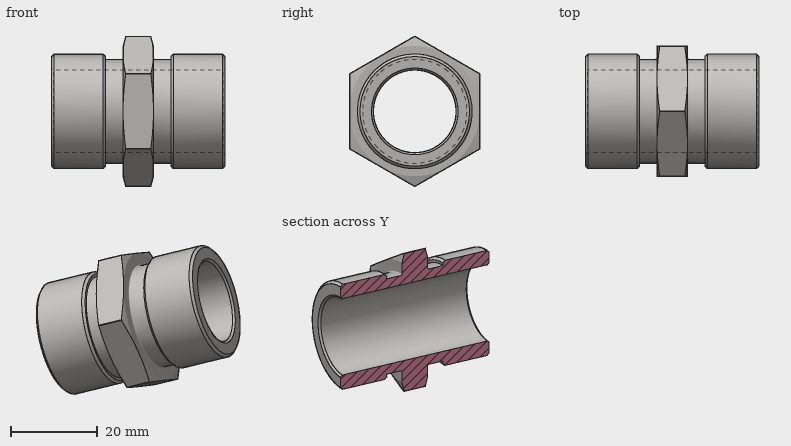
import cadquery as cq
import math

length = 40.0
bore_diameter = 19.0
thread_diameter = 26.45
neck_diameter = 24.0
neck_length = 4.0
neck_fillet = 0.3

hex_sides = 6
hex_across_flats = 30.0
hex_corner_diameter = 34.55
hex_width = 7.0
hex_bevel_angle = 15.0

outer_chamfer = 0.6
bore_chamfer = 0.5

half_length = length / 2
half_hex_width = hex_width / 2
bore_radius = bore_diameter / 2
thread_radius = thread_diameter / 2
neck_radius = neck_diameter / 2
thread_start = half_hex_width + neck_length


def revolve_about_x(profile):
    """Revolve a closed profile, drawn as (x, radius), one full turn about X."""
    return profile.close().revolve(360, (0, 0, 0), (1, 0, 0))


def make_threaded_end():
    """Tube on the +X side: neck with a root fillet, then the chamfered thread."""
    fillet_center = (half_hex_width + neck_fillet, neck_radius + neck_fillet)
    fillet_reach = neck_fillet * math.sqrt(0.5)
    fillet_middle = (fillet_center[0] - fillet_reach, fillet_center[1] - fillet_reach)
    profile = (
        cq.Workplane("XY")
        .moveTo(0, bore_radius)
        .lineTo(0, neck_radius + neck_fillet)
        .lineTo(half_hex_width, neck_radius + neck_fillet)
        .threePointArc(fillet_middle, (half_hex_width + neck_fillet, neck_radius))
        .lineTo(thread_start, neck_radius)
        .lineTo(thread_start, thread_radius - outer_chamfer)
        .lineTo(thread_start + outer_chamfer, thread_radius)
        .lineTo(half_length - outer_chamfer, thread_radius)
        .lineTo(half_length, thread_radius - outer_chamfer)
        .lineTo(half_length, bore_radius + bore_chamfer)
        .lineTo(half_length - bore_chamfer, bore_radius)
    )
    return revolve_about_x(profile)


def make_hex_flange():
    """Hexagon with corners up and down, bevelled on both faces and trimmed at its corners."""
    sharp_corner_diameter = hex_across_flats / math.cos(math.pi / hex_sides)
    prism = (
        cq.Workplane("YZ")
        .polygon(hex_sides, sharp_corner_diameter)
        .extrude(half_hex_width, both=True)
        .rotate((0, 0, 0), (1, 0, 0), 90)
    )
    face_radius = hex_across_flats / 2
    corner_radius = hex_corner_diameter / 2
    bevel_depth = (corner_radius - face_radius) * math.tan(math.radians(hex_bevel_angle))
    envelope = revolve_about_x(
        cq.Workplane("XY")
        .moveTo(-half_hex_width, bore_radius)
        .lineTo(-half_hex_width, face_radius)
        .lineTo(-half_hex_width + bevel_depth, corner_radius)
        .lineTo(half_hex_width - bevel_depth, corner_radius)
        .lineTo(half_hex_width, face_radius)
        .lineTo(half_hex_width, bore_radius)
    )
    return prism.intersect(envelope)


threaded_end = make_threaded_end()
result = make_hex_flange().union(threaded_end).union(threaded_end.mirror("YZ"))